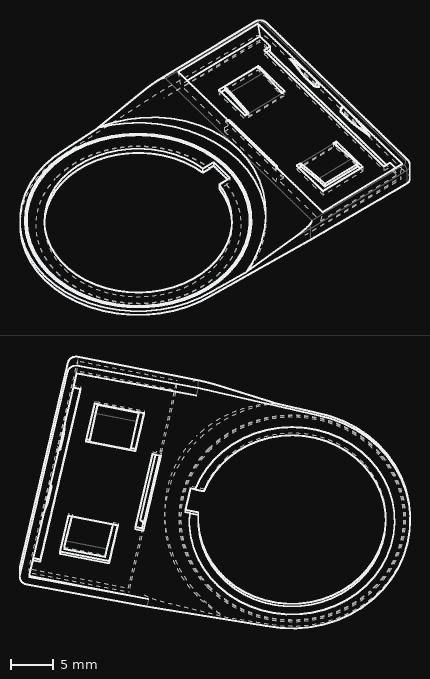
import cadquery as cq

height = 3.1
plate_bottom = 0.4
plate_top = 1.1

ring_radius = 14.0
hole_radius = 11.1
keyway_width = 3.12
keyway_end = 12.6
collar_radius = 12.15
collar_drop = 0.1
ridge_radius = 13.3
ridge_half_width = 0.15
ridge_height = 0.11

frame_width = 29.0
overall_length = 44
frame_back = overall_length - ring_radius
frame_front = 14.48
corner_radius = 1.0
edge_fillet = 0.55

ramp_top = 15.1
ramp_end = 4.85

pocket_width = 27.55
pocket_floor_width = 26.75
pocket_front = 16.9
pocket_back = 28.9

skirt_thickness = 1.0

back_slot_width = 22.9
back_slot_depth = 0.92
front_slot_width = 9.95
front_slot_depth = 1.0
window_inner = 4.95
window_outer = 9.95
window_front = 19.98
window_back = 25.95

tab_end = 9.55
tab_bend = 8.45
tab_front = 20.55
tab_back = 25.5
tab_rise = 0.55
tab_thickness = 0.55

catch_bottom = 2.35
catch_top = 3.0
catch_lip = 0.15
catch_reach = 0.4
catch_tip = 7.55
catch_bend = 4.58
catch_shoulder = 2.45
catch_end = 2.05
tongue_half_width = 4.8
tongue_reach = 0.5
tongue_chamfer = 0.25


def slab(width, y_front, y_back, z_bottom, z_top, x_middle=0):
    """Box spanning the given Y and Z ranges, centred on x_middle."""
    return (
        cq.Workplane("XY", origin=(x_middle, (y_front + y_back) / 2, z_bottom))
        .rect(width, y_back - y_front)
        .extrude(z_top - z_bottom)
    )


def side_profile(points, half_width):
    """Prism along X with an outline given as (y, z) points."""
    return cq.Workplane("YZ").polyline(points).close().extrude(half_width, both=True)


def outer_body():
    half = frame_width / 2
    body = (
        cq.Workplane("XY")
        .moveTo(ring_radius, 0)
        .lineTo(half, frame_front)
        .lineTo(half, frame_back)
        .lineTo(-half, frame_back)
        .lineTo(-half, frame_front)
        .lineTo(-ring_radius, 0)
        .threePointArc((0, -ring_radius), (ring_radius, 0))
        .close()
        .extrude(height)
    )
    body = body.edges("|Z and >Y").fillet(corner_radius)
    return body.faces(">Z").edges("not(<Y)").fillet(edge_fillet)


def ramp_cut():
    return side_profile(
        [
            (ramp_top, height),
            (ramp_end, plate_top),
            (-frame_back, plate_top),
            (-frame_back, 2 * height),
            (ramp_top, 2 * height),
        ],
        frame_width,
    )


def underside_cut():
    """Slanted underside of the frame and level underside of the ring."""
    return side_profile(
        [
            (frame_back, 0),
            (frame_front, plate_bottom),
            (-frame_back, plate_bottom),
            (-frame_back, -height),
            (frame_back, -height),
        ],
        frame_width,
    )


def label_pocket():
    depth = pocket_back - pocket_front
    middle = (pocket_back + pocket_front) / 2
    return (
        cq.Workplane("XY", origin=(0, middle, plate_top))
        .rect(pocket_floor_width, depth)
        .workplane(offset=height - plate_top)
        .rect(pocket_width, depth)
        .loft(ruled=True)
    )


def ridge():
    """Thin pointed ridge around the top of the ring."""
    return (
        cq.Workplane("XZ")
        .moveTo(ridge_radius - ridge_half_width, plate_top)
        .lineTo(ridge_radius, plate_top + ridge_height)
        .lineTo(ridge_radius + ridge_half_width, plate_top)
        .close()
        .revolve(360, (0, 0, 0), (0, 1, 0))
    )


def spring_tab():
    """Bent tab of the +X window; it rises from the floor towards its level end."""
    tab_top = plate_top + tab_rise
    return (
        cq.Workplane("XZ", origin=(0, tab_back, 0))
        .moveTo(window_inner, plate_top)
        .lineTo(tab_bend, tab_top)
        .lineTo(tab_end, tab_top)
        .lineTo(tab_end, tab_top - tab_thickness)
        .lineTo(tab_bend, tab_top - tab_thickness)
        .lineTo(window_inner, plate_top - tab_thickness)
        .close()
        .extrude(tab_back - tab_front)
    )


def snap_catch(wall, reach, stations):
    """Wedge on a wall at y = wall, standing out by reach (negative reach points towards -Y).

    Each station is an x position and how far the section there sinks back into the wall.
    """
    sections = []
    for x, sink in stations:
        base = wall - sink
        tip = base + reach
        section = (
            cq.Workplane("YZ", origin=(x, 0, 0))
            .moveTo(base, catch_bottom)
            .lineTo(tip, catch_bottom)
            .lineTo(tip, catch_bottom + catch_lip)
            .lineTo(base, catch_top)
            .close()
        )
        sections.append(section.wires().val())
    return cq.Workplane(cq.Solid.makeLoft(sections, True))


def back_catch():
    """Catch on the back wall at +X, fading into the wall at both ends."""
    stations = [
        (catch_end, -catch_reach),
        (catch_shoulder, 0),
        (catch_bend, 0),
        (catch_tip, -catch_reach),
    ]
    return snap_catch(pocket_back, -catch_reach, stations)


def front_tongue():
    """Long catch on the front wall, fading into the wall at both ends."""
    shoulder = tongue_half_width - tongue_chamfer
    stations = [
        (-tongue_half_width, tongue_reach),
        (-shoulder, 0),
        (shoulder, 0),
        (tongue_half_width, tongue_reach),
    ]
    return snap_catch(pocket_front, tongue_reach, stations)


def both_sides(shape):
    return shape.union(shape.mirror("YZ"))


result = outer_body().cut(ramp_cut()).cut(underside_cut())
clearance = cq.Workplane("XY", origin=(0, 0, plate_top)).circle(ramp_top).extrude(height)
result = result.cut(clearance)

recess_width = frame_width - 2 * skirt_thickness
recess = slab(recess_width, frame_front, pocket_back, -height, plate_bottom)
result = result.cut(label_pocket()).cut(recess)

collar_bottom = plate_bottom - collar_drop
collar_height = plate_top - collar_bottom
collar = cq.Workplane("XY", origin=(0, 0, collar_bottom)).circle(collar_radius).extrude(collar_height)
hole = cq.Workplane("XY").circle(hole_radius).extrude(height)
result = result.union(collar).union(ridge()).cut(hole)
result = result.cut(slab(keyway_width, 0, keyway_end, 0, height))

result = result.cut(slab(back_slot_width, pocket_back - back_slot_depth, pocket_back, 0, plate_top))
result = result.cut(slab(front_slot_width, pocket_front, pocket_front + front_slot_depth, 0, plate_top))
window = slab(
    window_outer - window_inner, window_front, window_back, 0, plate_top, (window_inner + window_outer) / 2
)
result = result.cut(both_sides(window))

result = result.union(both_sides(spring_tab()))
result = result.union(both_sides(back_catch())).union(front_tongue())